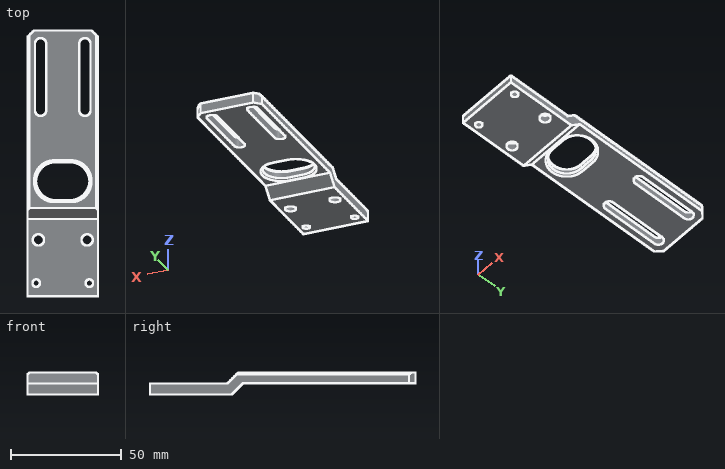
import math

import cadquery as cq

width = 32.0
length = 120.0
thickness = 5.0
step_height = 5.0
step_angle = 45.0
step_start = 35.0

corner_chamfer = 3.0
side_chamfer = 1.0

slot_width = 5.0
slot_length = 35.0
slot_spacing = 20.0
slot_end_margin = 3.5

window_length = 24.0
window_width = 17.0
window_chamfer = 1.0
window_y = 52.0

large_hole_diameter = 5.0
large_hole_spacing = 22.0
large_hole_y = 25.5
small_hole_diameter = 3.3
small_hole_spacing = 24.0
small_hole_y = 6.0

total_height = thickness + step_height
step_run = step_height / math.tan(math.radians(step_angle))
bend_shift = thickness * math.tan(math.radians(step_angle / 2))


def make_stepped_plate():
    """Side profile in YZ, extruded symmetrically across the width."""
    profile = [
        (0, 0),
        (step_start + bend_shift, 0),
        (step_start + bend_shift + step_run, step_height),
        (length, step_height),
        (length, total_height),
        (step_start + step_run, total_height),
        (step_start, thickness),
        (0, thickness),
    ]
    return cq.Workplane("YZ").polyline(profile).close().extrude(width / 2, both=True)


def chamfer_outline(plate):
    """Break the long upper edges, then cut the two far corners."""
    plate = plate.faces(">Z").edges("|Y").chamfer(side_chamfer)
    half_width = width / 2
    for side in (-1, 1):
        corner = (
            cq.Workplane("XY")
            .moveTo(side * half_width, length)
            .lineTo(side * (half_width - corner_chamfer), length)
            .lineTo(side * half_width, length - corner_chamfer)
            .close()
            .extrude(total_height)
        )
        plate = plate.cut(corner)
    return plate


def cut_hole_pair(plate, diameter, spacing, y):
    """Two through holes placed symmetrically about the centre plane."""
    holes = (
        cq.Workplane("XY")
        .pushPoints([(-spacing / 2, y), (spacing / 2, y)])
        .circle(diameter / 2)
        .extrude(total_height)
    )
    return plate.cut(holes)


def cut_slots(plate):
    """Two long through slots near the far end."""
    slot_y = length - slot_end_margin - slot_length / 2
    slots = (
        cq.Workplane("XY")
        .pushPoints([(-slot_spacing / 2, slot_y), (slot_spacing / 2, slot_y)])
        .slot2D(slot_length, slot_width, 90)
        .extrude(total_height)
    )
    return plate.cut(slots)


def cut_window(plate):
    """Obround opening across the width, with both rims chamfered."""
    opening = (
        cq.Workplane("XY")
        .center(0, window_y)
        .slot2D(window_length, window_width)
        .extrude(total_height)
    )
    plate = plate.cut(opening)
    rim_length = window_length + 2 * window_chamfer
    rim_width = window_width + 2 * window_chamfer
    for face_z, inward in ((total_height, -1), (step_height, 1)):
        rim = (
            cq.Workplane("XY", origin=(0, window_y, face_z))
            .slot2D(rim_length, rim_width)
            .extrude(inward * window_chamfer, taper=45)
        )
        plate = plate.cut(rim)
    return plate


result = make_stepped_plate()
result = chamfer_outline(result)
result = cut_slots(result)
result = cut_window(result)
result = cut_hole_pair(result, large_hole_diameter, large_hole_spacing, large_hole_y)
result = cut_hole_pair(result, small_hole_diameter, small_hole_spacing, small_hole_y)